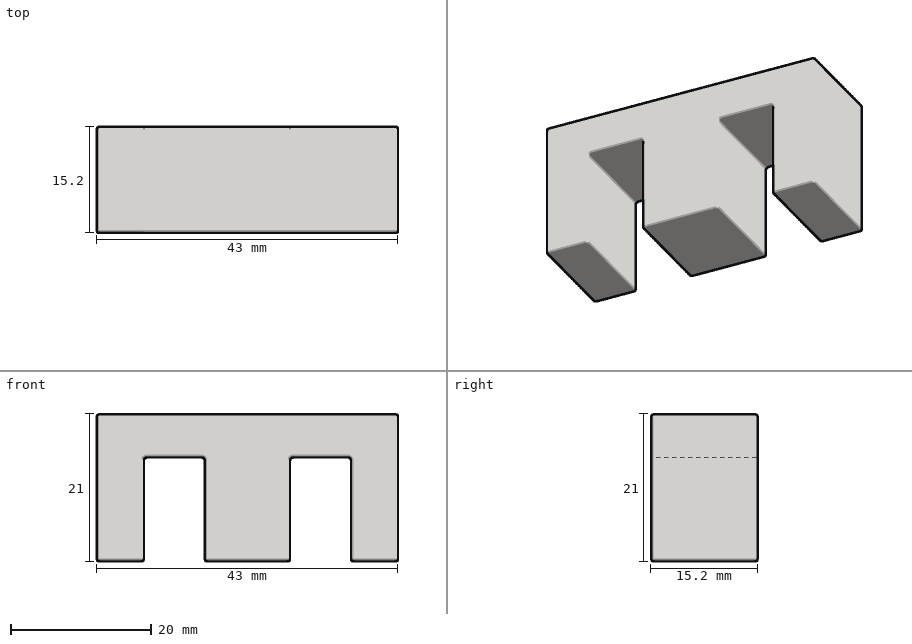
import cadquery as cq

core_width = 43.0
core_depth = 15.2
core_height = 21.0

center_leg_width = 12.2
outer_leg_spacing = 29.5
window_height = 14.8

edge_radius = 0.4

window_width = (outer_leg_spacing - center_leg_width) / 2
window_offset = (outer_leg_spacing + center_leg_width) / 4


def make_window(center_x):
    """Block that clears one window through the full depth, open at the bottom."""
    return (
        cq.Workplane("XY")
        .box(window_width, core_depth, window_height, centered=(True, True, False))
        .translate((center_x, 0, 0))
    )


core = cq.Workplane("XY").box(core_width, core_depth, core_height, centered=(True, True, False))

for side in (-1, 1):
    core = core.cut(make_window(side * window_offset))

result = core.edges().fillet(edge_radius)